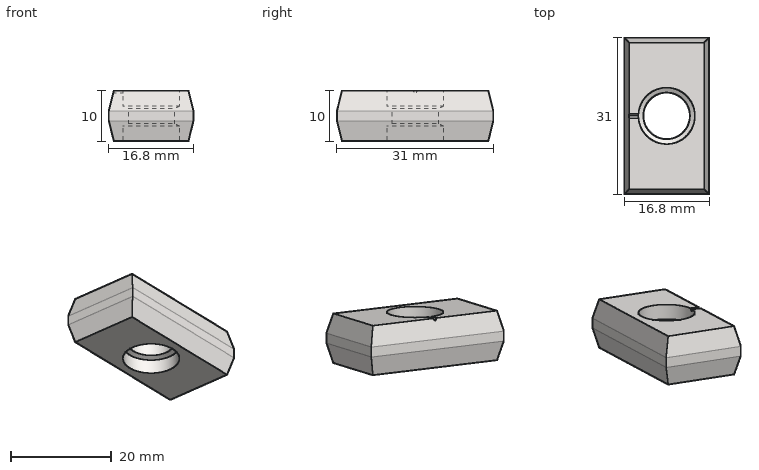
import cadquery as cq

length = 31.0
width = 16.8
height = 10.0
belt_height = 2.0
side_inset = 1.0
taper_height = (height - belt_height) / 2

bore_diameter = 9.18
counterbore_diameter = 11.2
counterbore_depth = 3.0
cone_height = 0.5

groove_depth = 0.45
groove_width = 2 * groove_depth


def tapered_half():
    """Upper half of the block, from the mid-plane to the top face."""
    belt = cq.Workplane("XY").rect(width, length).extrude(belt_height / 2)
    taper = (
        cq.Workplane("XY")
        .workplane(offset=belt_height / 2)
        .rect(width, length)
        .workplane(offset=taper_height)
        .rect(width - 2 * side_inset, length - 2 * side_inset)
        .loft(ruled=True)
    )
    return belt.union(taper)


def stepped_bore_half():
    """Upper half of the hole, revolved about Z."""
    bore_radius = bore_diameter / 2
    counterbore_radius = counterbore_diameter / 2
    top = height / 2
    step = top - counterbore_depth
    return (
        cq.Workplane("XZ")
        .polyline([
            (0, 0),
            (bore_radius, 0),
            (bore_radius, step - cone_height),
            (counterbore_radius, step),
            (counterbore_radius, top),
            (0, top),
        ])
        .close()
        .revolve(360, (0, 0), (0, 1))
    )


def marking_groove():
    """V-groove along X in the top face, on the -X side only."""
    top = height / 2
    return (
        cq.Workplane("YZ")
        .polyline([
            (-groove_width / 2, top),
            (groove_width / 2, top),
            (0, top - groove_depth),
        ])
        .close()
        .extrude(-width / 2)
    )


upper_half = tapered_half().cut(stepped_bore_half())
lower_half = upper_half.mirror("XY")
result = upper_half.union(lower_half).clean().cut(marking_groove())